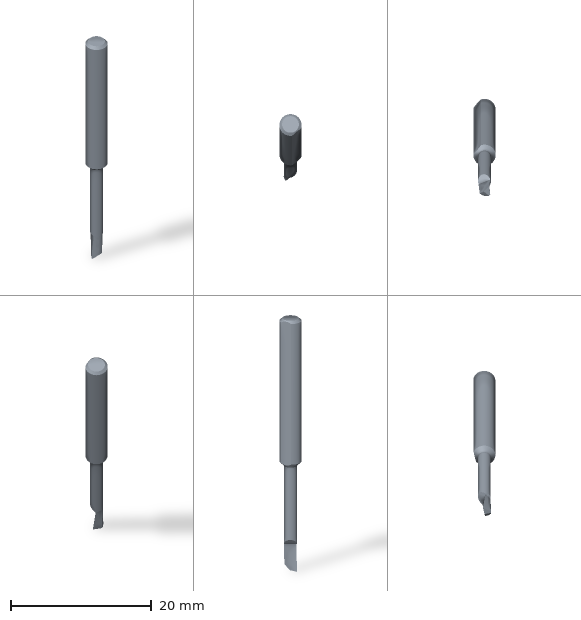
import cadquery as cq
import math

length = 38.1
shank_diameter = 3.15
flat_offset = 1.353
top_chamfer = 0.4
shank_length = 21.55

neck_radius = 0.9
tip_length = 4.08

root_edge = (-0.8, -0.4)
root_heel = (0.8, 0.44)
root_relief_x = 0.25
end_radius = 1.0
end_edge = (-1.0, -0.05)
end_relief_x = -0.1
nose_x = 0.15
nose_height = 0.95
end_rise = 0.08

shank_radius = shank_diameter / 2
shank_bottom = length - shank_length
cone_height = shank_radius - neck_radius
neck_top = shank_bottom - cone_height


def make_shank():
    """Chamfered round shank with a flat and a 45 degree cone down to the neck."""
    shank = (
        cq.Workplane("XZ")
        .moveTo(0, neck_top)
        .lineTo(neck_radius, neck_top)
        .lineTo(shank_radius, shank_bottom)
        .lineTo(shank_radius, length - top_chamfer)
        .lineTo(shank_radius - top_chamfer, length)
        .lineTo(0, length)
        .close()
        .revolve(360, (0, 0), (0, 1))
    )
    flat_cut = (
        cq.Workplane("XY", origin=(0, flat_offset + shank_radius, 0))
        .rect(2 * shank_diameter, shank_diameter)
        .extrude(length)
    )
    return shank.cut(flat_cut)


def runout_ramp(start, end):
    """Cutter for a 45 degree ramp rising to the left of the line from start to end."""
    start_point = cq.Vector(*start, tip_length)
    direction = (cq.Vector(*end, tip_length) - start_point).normalized()
    outward = cq.Vector(0, 0, 1).cross(direction)
    ramp_plane = cq.Plane(origin=start_point, xDir=outward, normal=direction)
    ramp_size = 2 * shank_diameter
    return (
        cq.Workplane(ramp_plane)
        .polyline([(0, 0), (ramp_size, 0), (ramp_size, ramp_size)])
        .close()
        .extrude(ramp_size, both=True)
    )


def make_neck():
    """Round neck with ramps where the rake and relief faces run out."""
    neck = (
        cq.Workplane("XY", origin=(0, 0, tip_length))
        .circle(neck_radius)
        .extrude(neck_top - tip_length)
    )
    root_relief = back_point(neck_radius, root_relief_x)
    return neck.cut(runout_ramp(root_edge, root_heel)).cut(runout_ramp(root_relief, root_edge))


def back_point(radius, x):
    """Point on the -Y half of a circle about the axis."""
    return (x, -math.sqrt(radius**2 - x**2))


def tip_section(z, radius, edge, heel, relief_x):
    """Section bounded by the rake line, the round back and the relief line."""
    relief = back_point(radius, relief_x)
    middle_angle = (math.atan2(heel[1], heel[0]) + math.atan2(relief[1], relief[0])) / 2
    middle = (radius * math.cos(middle_angle), radius * math.sin(middle_angle))
    return (
        cq.Workplane("XY", origin=(0, 0, z))
        .moveTo(*edge)
        .lineTo(*heel)
        .threePointArc(middle, relief)
        .close()
        .val()
    )


def make_tip():
    """Tapering cutting tip with a sloping nose and a slightly raised end face."""
    root = tip_section(tip_length, neck_radius, root_edge, root_heel, root_relief_x)
    end = tip_section(0, end_radius, end_edge, (end_radius, 0), end_relief_x)
    tip = cq.Workplane(cq.Solid.makeLoft([root, end], True))
    nose_cut = (
        cq.Workplane("XZ")
        .moveTo(end_edge[0], 0)
        .lineTo(nose_x, end_rise)
        .lineTo(end_radius, nose_height)
        .lineTo(shank_radius, nose_height)
        .lineTo(shank_radius, -end_rise)
        .lineTo(end_edge[0], -end_rise)
        .close()
        .extrude(shank_diameter, both=True)
    )
    return tip.cut(nose_cut)


result = make_shank().union(make_neck()).union(make_tip())